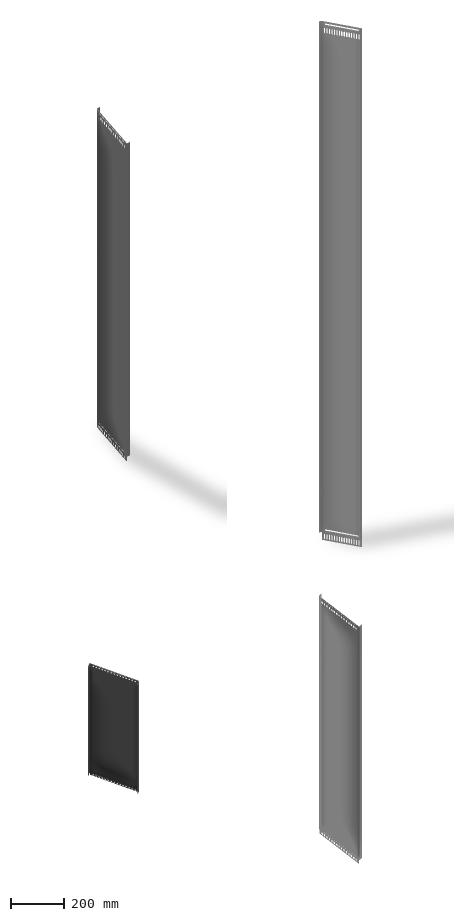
import cadquery as cq

width = 200.0
depth = 15.0
length = 2000.0

sheet = 1.5
bend_radius = 2 * sheet

tongue_length = 30.0

slot_count = 15
slot_pitch = 12.0
slot_width = 7.0
slot_length = 20.0
slot_row_height = tongue_length / 2

cross_slot_length = 167.0
cross_slot_width = 5.0
cross_slot_height = 40.0

group_spacing = 1950.0


def bent_channel():
    """U-shaped sheet with its web on the -Y side and flanges toward +Y."""
    outer = (
        cq.Workplane("XY")
        .box(width, depth, length, centered=(True, False, False))
        .edges("|Z and <Y")
        .fillet(bend_radius)
    )
    hollow = (
        cq.Workplane("XY")
        .box(width - 2 * sheet, depth, length, centered=(True, False, False))
        .edges("|Z and <Y")
        .fillet(bend_radius - sheet)
        .translate((0, sheet, 0))
    )
    return outer.cut(hollow)


def corner_relief(side):
    """Block that removes one flange and its bend beside the tongue."""
    center_x = side * (width - bend_radius) / 2
    return (
        cq.Workplane("XY")
        .center(center_x, 0)
        .box(bend_radius, depth, tongue_length, centered=(True, False, False))
    )


def slot_group(base_height):
    """Cutters for one row of upright slots and the cross slot above it."""
    upright_slots = (
        cq.Workplane("XZ")
        .center(0, base_height + slot_row_height)
        .rarray(slot_pitch, 20, slot_count, 1)
        .slot2D(slot_length, slot_width, 90)
        .extrude(-sheet)
    )
    cross_slot = (
        cq.Workplane("XZ")
        .center(0, base_height + cross_slot_height)
        .slot2D(cross_slot_length, cross_slot_width)
        .extrude(-sheet)
    )
    return upright_slots.add(cross_slot)


strip = bent_channel()

for side in (-1, 1):
    strip = strip.cut(corner_relief(side))

for base_height in (0, group_spacing):
    for cutter in slot_group(base_height).vals():
        strip = strip.cut(cq.Workplane(cutter))

result = strip